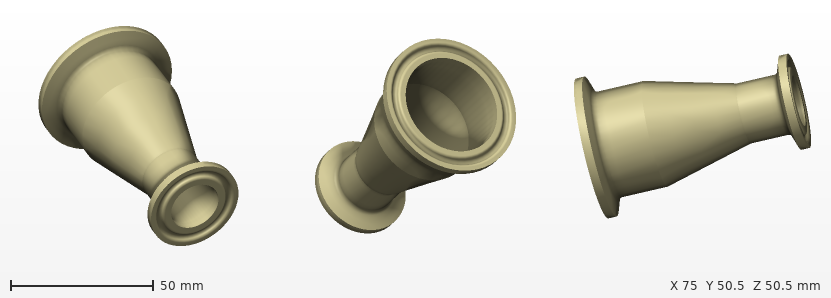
import cadquery as cq
import math


total_length = 75.0
cone_start = 22.95
cone_end = 55.05

large_flange_radius = 50.5 / 2
large_tube_radius = 38.1 / 2
large_bore_radius = 35.7 / 2

small_flange_radius = 34.0 / 2
small_tube_radius = 21.7 / 2
small_bore_radius = 18.4 / 2

rim_width = 3.0
back_angle = math.radians(20)
neck_fillet = 1.7

groove_inset = 3.5
groove_depth = 1.6
groove_lip_radius = 1.05
groove_bottom_radius = 1.1
groove_wall_angle = math.radians(70)


def flange_back(flange_radius, tube_radius):
    """Return (distance from end face, radius) of the fillet's start, middle and end."""
    turn = math.pi / 2 - back_angle
    centre_radius = tube_radius + neck_fillet
    start_radius = centre_radius - neck_fillet * math.cos(turn)
    start = rim_width + (flange_radius - start_radius) * math.tan(back_angle)
    end = start + neck_fillet * math.sin(turn)
    middle = end - neck_fillet * math.sin(turn / 2)
    middle_radius = centre_radius - neck_fillet * math.cos(turn / 2)
    return (start, start_radius), (middle, middle_radius), (end, tube_radius)


def from_far_end(point):
    """Measure a point's distance from the small end face instead."""
    return total_length - point[0], point[1]


def reducer_body():
    large_start, large_middle, large_end = flange_back(large_flange_radius, large_tube_radius)
    small_start, small_middle, small_end = map(
        from_far_end, flange_back(small_flange_radius, small_tube_radius)
    )
    return (
        cq.Workplane("XY")
        .moveTo(0, large_bore_radius)
        .lineTo(0, large_flange_radius)
        .lineTo(rim_width, large_flange_radius)
        .lineTo(*large_start)
        .threePointArc(large_middle, large_end)
        .lineTo(cone_start, large_tube_radius)
        .lineTo(cone_end, small_tube_radius)
        .lineTo(*small_end)
        .threePointArc(small_middle, small_start)
        .lineTo(total_length - rim_width, small_flange_radius)
        .lineTo(total_length, small_flange_radius)
        .lineTo(total_length, small_bore_radius)
        .lineTo(cone_end, small_bore_radius)
        .lineTo(cone_start, large_bore_radius)
        .close()
        .revolve(360, (0, 0, 0), (1, 0, 0))
    )


def groove_ring(flange_radius):
    """Return the ring to cut from a flange whose end face lies at X = 0."""
    sine = math.sin(groove_wall_angle)
    cosine = math.cos(groove_wall_angle)
    half_sine = math.sin(groove_wall_angle / 2)
    half_cosine = math.cos(groove_wall_angle / 2)

    wall_top = groove_lip_radius * (1 - cosine)
    wall_bottom = groove_depth - groove_bottom_radius * (1 - cosine)
    bottom_half_width = groove_bottom_radius * sine
    top_half_width = bottom_half_width + (wall_bottom - wall_top) * cosine / sine
    half_width = top_half_width + groove_lip_radius * sine

    lip_middle_depth = groove_lip_radius * (1 - half_cosine)
    lip_middle_half_width = half_width - groove_lip_radius * half_sine
    centre_radius = flange_radius - groove_inset

    return (
        cq.Workplane("XY")
        .moveTo(0, centre_radius + half_width)
        .threePointArc(
            (lip_middle_depth, centre_radius + lip_middle_half_width),
            (wall_top, centre_radius + top_half_width),
        )
        .lineTo(wall_bottom, centre_radius + bottom_half_width)
        .threePointArc(
            (groove_depth, centre_radius),
            (wall_bottom, centre_radius - bottom_half_width),
        )
        .lineTo(wall_top, centre_radius - top_half_width)
        .threePointArc(
            (lip_middle_depth, centre_radius - lip_middle_half_width),
            (0, centre_radius - half_width),
        )
        .close()
        .revolve(360, (0, 0, 0), (1, 0, 0))
    )


large_groove = groove_ring(large_flange_radius)
small_groove = groove_ring(small_flange_radius).mirror("YZ").translate((total_length, 0, 0))

result = reducer_body().cut(large_groove).cut(small_groove)